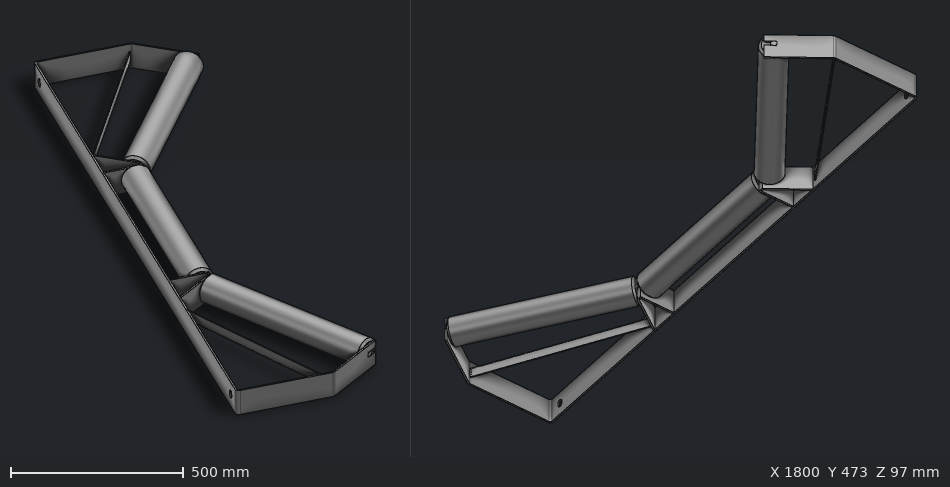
import cadquery as cq
import math


FRAME_LENGTH = 1800.0
TOTAL_HEIGHT = 97.0
STRIP_WIDTH = 85.0
STRIP_THICKNESS = 6.0
BEND_RADIUS = 13.0

TROUGH_ANGLE = 35.0
ROLLER_DIAMETER = 90.0
ROLLER_LENGTH = 576.0
RIM_CHAMFER_AXIAL = 7.0
RIM_CHAMFER_RADIAL = 9.0
SHAFT_DIAMETER = 20.0
SHAFT_FLAT_WIDTH = 16.0
END_GAP = 2.0

CENTER_ROLLER_Y = 100.0
SIDE_ROLLER_X = 556.0
SIDE_ROLLER_Y = 275.0
WING_BEYOND_SHAFT = 29.0
BRACKET_TOP_Y = 126.0

BRACE_HEIGHT = 32.0
BRACE_THICKNESS = 4.0
BRACE_TOP_Y = 295.0
BRACE_FOOT_X = 400.0

MOUNT_SLOT_LENGTH = 25.0
MOUNT_SLOT_WIDTH = 18.0
MOUNT_SLOT_INSET = 50.0

HALF_LENGTH = FRAME_LENGTH / 2
ROLLER_RADIUS = ROLLER_DIAMETER / 2
AXIS_Z = TOTAL_HEIGHT - ROLLER_RADIUS
STRIP_MID_Z = STRIP_WIDTH / 2
SEAT_INNER = ROLLER_LENGTH / 2 + END_GAP
SEAT_OUTER = SEAT_INNER + STRIP_THICKNESS
COS_TROUGH = math.cos(math.radians(TROUGH_ANGLE))
SIN_TROUGH = math.sin(math.radians(TROUGH_ANGLE))
WING_RUN = math.tan(math.radians(TROUGH_ANGLE))


def left_roller_point(along, across):
    """Point measured from the middle of the left roller, along its axis and up across it."""
    x = -SIDE_ROLLER_X + along * COS_TROUGH + across * SIN_TROUGH
    y = SIDE_ROLLER_Y - along * SIN_TROUGH + across * COS_TROUGH
    return (x, y)


def tilted_strip_x(along, y):
    """X at height y on a face square to the left roller axis."""
    face_x, face_y = left_roller_point(along, 0)
    return face_x + (y - face_y) * WING_RUN


def tilted_strip_y(along, x):
    """Height at x on a face square to the left roller axis."""
    face_x, face_y = left_roller_point(along, 0)
    return face_y + (x - face_x) / WING_RUN


def mirrored(body):
    return body.mirror("YZ")


def make_pair(left_body):
    """The body on the left and its mirror copy on the right."""
    return [body.solids().val() for body in (left_body, mirrored(left_body))]


def place_center(body):
    return body.translate((0, CENTER_ROLLER_Y, AXIS_Z))


def place_left(body):
    tilted = body.rotate((0, 0, 0), (0, 0, 1), -TROUGH_ANGLE)
    return tilted.translate((-SIDE_ROLLER_X, SIDE_ROLLER_Y, AXIS_Z))


def make_shaft():
    shaft = cq.Workplane("YZ").circle(SHAFT_DIAMETER / 2).extrude(SEAT_OUTER, both=True)
    flats = cq.Workplane("XY").box(2 * SEAT_OUTER, SHAFT_DIAMETER, SHAFT_FLAT_WIDTH)
    return shaft.intersect(flats)


def make_roller():
    half = ROLLER_LENGTH / 2
    profile = [
        (-half, 0),
        (-half, ROLLER_RADIUS - RIM_CHAMFER_RADIAL),
        (-half + RIM_CHAMFER_AXIAL, ROLLER_RADIUS),
        (half - RIM_CHAMFER_AXIAL, ROLLER_RADIUS),
        (half, ROLLER_RADIUS - RIM_CHAMFER_RADIAL),
        (half, 0),
    ]
    drum = cq.Workplane("XY").polyline(profile).close().revolve(360, (0, 0, 0), (1, 0, 0))
    return drum.union(make_shaft())


def make_shaft_slots(opening):
    """Cutter for the slots at both ends of a roller, open toward the upper side."""
    mouth = (
        cq.Workplane("XY")
        .box(2 * SEAT_OUTER, opening, SHAFT_FLAT_WIDTH)
        .translate((0, opening / 2, 0))
    )
    return mouth.union(make_shaft())


def frame_half_outline(inset, along):
    """Wing tip, wing bend and base corner of the left half, for one face of the strip."""
    return [
        left_roller_point(along, WING_BEYOND_SHAFT),
        (-HALF_LENGTH + inset, tilted_strip_y(along, -HALF_LENGTH + inset)),
        (-HALF_LENGTH + inset, inset),
    ]


def make_frame():
    outside = frame_half_outline(0, -SEAT_OUTER)
    inside = frame_half_outline(STRIP_THICKNESS, -SEAT_INNER)
    left = outside + [(0, 0), (0, STRIP_THICKNESS)] + inside[::-1]
    half = cq.Workplane("XY").polyline(left).close().extrude(STRIP_WIDTH)
    for points, radius in ((outside, BEND_RADIUS), (inside, BEND_RADIUS - STRIP_THICKNESS)):
        for x, y in points[1:]:
            bend = cq.selectors.NearestToPointSelector((x, y, STRIP_MID_Z))
            half = half.edges("|Z").edges(bend).fillet(radius)
    half = half.cut(place_left(make_shaft_slots(2 * WING_BEYOND_SHAFT)))
    mount_slot = (
        cq.Workplane("XZ")
        .center(-HALF_LENGTH + MOUNT_SLOT_INSET, STRIP_MID_Z)
        .slot2D(MOUNT_SLOT_LENGTH, MOUNT_SLOT_WIDTH, 90)
        .extrude(-STRIP_THICKNESS)
    )
    half = half.cut(mount_slot)
    return half.union(mirrored(half))


def make_bracket():
    foot_y = STRIP_THICKNESS
    bridge_y = BRACKET_TOP_Y - STRIP_THICKNESS
    outline = [
        (tilted_strip_x(SEAT_INNER, foot_y), foot_y),
        (tilted_strip_x(SEAT_INNER, BRACKET_TOP_Y), BRACKET_TOP_Y),
        (-SEAT_INNER, BRACKET_TOP_Y),
        (-SEAT_INNER, foot_y),
        (-SEAT_OUTER, foot_y),
        (-SEAT_OUTER, bridge_y),
        (tilted_strip_x(SEAT_OUTER, bridge_y), bridge_y),
        (tilted_strip_x(SEAT_OUTER, foot_y), foot_y),
    ]
    bracket = cq.Workplane("XY").polyline(outline).close().extrude(STRIP_WIDTH)
    slots = make_shaft_slots(BRACKET_TOP_Y - CENTER_ROLLER_Y)
    return bracket.cut(place_center(slots)).cut(place_left(slots))


def make_brace():
    wall_x = -HALF_LENGTH + STRIP_THICKNESS
    run = -BRACE_FOOT_X - wall_x
    drop = BRACE_TOP_Y - STRIP_THICKNESS
    length = math.hypot(run, drop)
    outline = [
        (wall_x, BRACE_TOP_Y),
        (-BRACE_FOOT_X, STRIP_THICKNESS),
        (-BRACE_FOOT_X - BRACE_THICKNESS * length / drop, STRIP_THICKNESS),
        (wall_x, BRACE_TOP_Y - BRACE_THICKNESS * length / run),
    ]
    brace = cq.Workplane("XY").polyline(outline).close().extrude(BRACE_HEIGHT)
    return brace.translate((0, 0, STRIP_MID_Z - BRACE_HEIGHT / 2))


frame = make_frame().solids().val()
center_roller = place_center(make_roller()).solids().val()
side_rollers = make_pair(place_left(make_roller()))
brackets = make_pair(make_bracket())
braces = make_pair(make_brace())

result = cq.Compound.makeCompound([frame, center_roller, *side_rollers, *brackets, *braces])